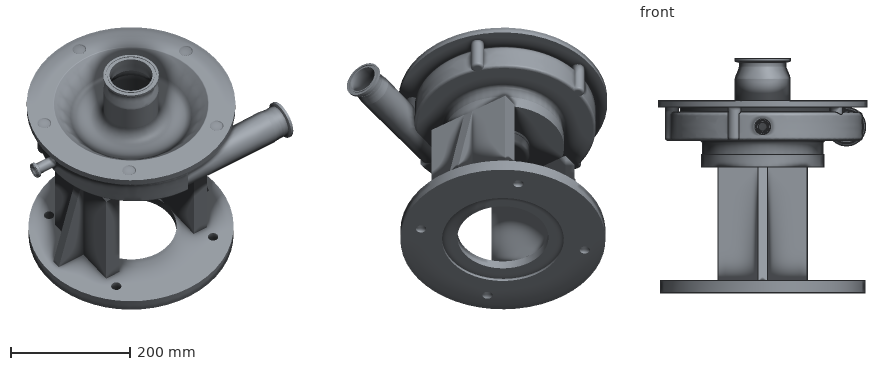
import cadquery as cq
import math

BASE_TOP = 21.0
HUB_BOTTOM = 185.2
HUB_STEP_Z = 205.2
COLLAR_BOTTOM = 210.5
COLLAR_STEP_Z = 231.5
CASING_BOTTOM = 255.5
CASING_TOP = 302.7
FLANGE_BOTTOM = 311.0
FLANGE_TOP = 322.0
SUCTION_END = 392.5

BASE_RADIUS = 171.8
BASE_BORE_RADIUS = 76.5
BASE_RELIEF_RADIUS = 102.0
BASE_RELIEF_DEPTH = 5.0
BOLT_CIRCLE_RADIUS = 139.5
BOLT_HOLE_RADIUS = 8.5
BOLT_HOLE_COUNT = 4
LEG_WIDTH = 149.7
LEG_INNER_Y = 76.0
LEG_OUTER_Y = 103.0
RIB_WIDTH = 16.5
RIB_FOOT_Y = 153.0

COLLAR_RADIUS = 102.5
COLLAR_NECK_RADIUS = 101.0
COLLAR_FILLET = 5.0
HUB_RADIUS = 45.3
HUB_TIP_RADIUS = 44.5
HUB_FILLET = 6.5

VOLUTE_START_RADIUS = 147.3
VOLUTE_STEADY_GROWTH = 10.5
VOLUTE_EXIT_GROWTH = 9.0
VOLUTE_POINT_COUNT = 12
CASING_WALL = 4.5
CHAMBER_FLOOR = CASING_BOTTOM + CASING_WALL
CHAMBER_ROOF = 285.0
CASING_BOTTOM_FILLET = 4.5
CASING_TOP_FILLET = 6.5
CASING_NECK_RADIUS = 138.0
CASING_NECK_FILLET = 2.5
CASING_NECK_FOOT_FILLET = 1.2

FLANGE_RADIUS = 174.83
DISH_RIM_RADIUS = 130.5
DISH_RIM_FILLET = 2.5
DISH_FLOOR_Z = 289.5
DISH_CORNER_FILLET = 12.5

BOSS_COUNT = 5
BOSS_CIRCLE_RADIUS = 151.8
BOSS_RADIUS = 11.0
BOSS_FILLET = 4.5
RECESS_RADIUS = 11.5
RECESS_FLOOR_RADIUS = 10.0
RECESS_DEPTH = 1.2

CLAMP_RIM = 4.5
CLAMP_TAPER = 2.0
GROOVE_DEPTH = 1.5

SUCTION_CLAMP_RADIUS = 46.5
SUCTION_NECK_RADIUS = 38.8
SUCTION_PIPE_RADIUS = 46.0
SUCTION_BORE_RADIUS = 36.0
SUCTION_CHAMBER_RADIUS = 42.5
SUCTION_NECK_END_Z = 379.0
SUCTION_PIPE_START_Z = 357.5
SUCTION_BORE_END_Z = 364.8
SUCTION_CHAMBER_Z = 347.0
SUCTION_FOOT_FILLET = 20.5
NECK_START_SLOPE = (0.2, -1)
NECK_END_SLOPE = (0.1, -1)
SUCTION_GROOVE = (39.0, 42.5)

PORT_Z = 278.3
OUTLET_X = 140.5
OUTLET_END_Y = 211.0
OUTLET_CLAMP_RADIUS = 32.2
OUTLET_NECK_RADIUS = 27.0
OUTLET_WELD_RADIUS = 27.5
OUTLET_PIPE_RADIUS = 28.5
OUTLET_ROOT_RADIUS = 27.0
OUTLET_BORE_RADIUS = 24.0
OUTLET_ROOT_BORE_RADIUS = 21.2
OUTLET_WELD_Y = 198.0
OUTLET_NECK_END_Y = 192.5
OUTLET_BEND_Y = 186.5
OUTLET_PIPE_START_Y = 177.5
OUTLET_GROOVE = (26.0, 29.0)

DRAIN_END_Y = -197.0
DRAIN_LENGTH = 53.0
DRAIN_CLAMP_RADIUS = 13.0
DRAIN_TUBE_RADIUS = 9.5
DRAIN_BORE_RADIUS = 7.5
DRAIN_GROOVE = (9.5, 11.0)


def disc(radius, bottom, top):
    return cq.Workplane("XY").workplane(offset=bottom).circle(radius).extrude(top - bottom)


def spin(outline):
    """Close an outline of (radius, height) points and revolve it about the Z axis."""
    return outline.close().revolve(360, (0, 0, 0), (0, 1, 0))


def clamp_end(clamp_radius, neck_radius, end, groove):
    """Clamp flange whose grooved face lies at height `end`."""
    rim_z = end - CLAMP_RIM
    neck_z = rim_z - CLAMP_TAPER
    profile = cq.Workplane("XZ").polyline(
        [(0, end), (clamp_radius, end), (clamp_radius, rim_z), (neck_radius, neck_z), (0, neck_z)]
    )
    ring = cq.Workplane("XY").workplane(offset=end - GROOVE_DEPTH)
    ring = ring.circle(groove[1]).circle(groove[0]).extrude(GROOVE_DEPTH)
    return spin(profile).cut(ring)


def volute(bottom, top, inset):
    """Spiral prism growing anticlockwise for one turn from the +X axis, fastest near its exit."""

    def point(turn):
        growth = VOLUTE_STEADY_GROWTH * turn + VOLUTE_EXIT_GROWTH * turn**3
        radius = VOLUTE_START_RADIUS + growth - inset
        angle = 2 * math.pi * turn
        return (radius * math.cos(angle), radius * math.sin(angle))

    points = [point(i / VOLUTE_POINT_COUNT) for i in range(VOLUTE_POINT_COUNT + 1)]
    plane = cq.Workplane("XY").workplane(offset=bottom)
    return plane.moveTo(*points[0]).spline(points[1:], includeCurrent=True).close().extrude(top - bottom)


def make_base():
    """Round plate with a large bore, a shallow relief under the bore and a ring of bolt holes."""
    base = disc(BASE_RADIUS, 0, BASE_TOP).cut(disc(BASE_BORE_RADIUS, 0, BASE_TOP))
    base = base.cut(disc(BASE_RELIEF_RADIUS, 0, BASE_RELIEF_DEPTH))
    first_angle = 180 / BOLT_HOLE_COUNT
    holes = (
        cq.Workplane("XY")
        .polarArray(BOLT_CIRCLE_RADIUS, first_angle, 360, BOLT_HOLE_COUNT)
        .circle(BOLT_HOLE_RADIUS)
        .extrude(BASE_TOP)
    )
    return base.cut(holes)


def make_leg(side):
    """Upright plate with a tapered outer rib; `side` is +1 or -1 along Y."""
    height = COLLAR_BOTTOM - BASE_TOP
    thickness = LEG_OUTER_Y - LEG_INNER_Y
    plate = cq.Workplane("XY").box(LEG_WIDTH, thickness, height, centered=(True, True, False))
    plate = plate.translate((0, side * (LEG_INNER_Y + LEG_OUTER_Y) / 2, BASE_TOP))
    rib = (
        cq.Workplane("YZ")
        .polyline(
            [
                (side * LEG_INNER_Y, BASE_TOP),
                (side * RIB_FOOT_Y, BASE_TOP),
                (side * LEG_OUTER_Y, COLLAR_BOTTOM),
                (side * LEG_INNER_Y, COLLAR_BOTTOM),
            ]
        )
        .close()
        .extrude(RIB_WIDTH / 2, both=True)
    )
    return plate.union(rib)


def make_collar():
    """Stepped collar flaring into the casing, with the shaft hub below it."""
    collar = spin(
        cq.Workplane("XZ")
        .moveTo(0, COLLAR_BOTTOM)
        .lineTo(COLLAR_RADIUS, COLLAR_BOTTOM)
        .lineTo(COLLAR_RADIUS, COLLAR_STEP_Z)
        .lineTo(COLLAR_NECK_RADIUS, COLLAR_STEP_Z)
        .lineTo(COLLAR_NECK_RADIUS, CASING_BOTTOM - COLLAR_FILLET)
        .radiusArc((COLLAR_NECK_RADIUS + COLLAR_FILLET, CASING_BOTTOM), COLLAR_FILLET)
        .lineTo(0, CASING_BOTTOM)
    )
    hub_tip = disc(HUB_TIP_RADIUS, HUB_BOTTOM, HUB_STEP_Z).faces("<Z").edges().fillet(HUB_FILLET)
    hub = disc(HUB_RADIUS, HUB_STEP_Z, COLLAR_BOTTOM)
    return collar.union(hub).union(hub_tip)


def make_casing():
    """Volute body with rounded edges, and the round neck that joins it to the flange."""
    casing = volute(CASING_BOTTOM, CASING_TOP, 0)
    casing = casing.faces(">Z").edges().fillet(CASING_TOP_FILLET)
    casing = casing.faces("<Z").edges().fillet(CASING_BOTTOM_FILLET)
    neck = spin(
        cq.Workplane("XZ")
        .moveTo(0, CASING_TOP)
        .lineTo(CASING_NECK_RADIUS + CASING_NECK_FOOT_FILLET, CASING_TOP)
        .radiusArc((CASING_NECK_RADIUS, CASING_TOP + CASING_NECK_FOOT_FILLET), CASING_NECK_FOOT_FILLET)
        .lineTo(CASING_NECK_RADIUS, FLANGE_BOTTOM - CASING_NECK_FILLET)
        .radiusArc((CASING_NECK_RADIUS + CASING_NECK_FILLET, FLANGE_BOTTOM), CASING_NECK_FILLET)
        .lineTo(0, FLANGE_BOTTOM)
    )
    return casing.union(neck)


def make_dish():
    """Volume removed above the flange centre: a 45 degree cone with rounded rim and corner."""
    rim_tangent = DISH_RIM_FILLET * math.tan(math.radians(22.5))
    tangent_step = rim_tangent * math.cos(math.radians(45))
    edge_radius = DISH_RIM_RADIUS - rim_tangent
    floor_radius = edge_radius - (FLANGE_TOP - DISH_FLOOR_Z)
    dish = spin(
        cq.Workplane("XZ")
        .moveTo(0, DISH_FLOOR_Z)
        .lineTo(floor_radius, DISH_FLOOR_Z)
        .lineTo(edge_radius - tangent_step, FLANGE_TOP - tangent_step)
        .radiusArc((DISH_RIM_RADIUS, FLANGE_TOP), DISH_RIM_FILLET)
        .lineTo(0, FLANGE_TOP)
    )
    return dish.faces("<Z").edges().fillet(DISH_CORNER_FILLET)


def screw_place(angle):
    """Centre of the screw boss at `angle` degrees from +X."""
    x = BOSS_CIRCLE_RADIUS * math.cos(math.radians(angle))
    y = BOSS_CIRCLE_RADIUS * math.sin(math.radians(angle))
    return (x, y, 0)


def make_boss(angle):
    """Screw boss; on the wide +X side it ends in the casing or outlet pipe."""
    if math.cos(math.radians(angle)) > 0:
        boss = disc(BOSS_RADIUS, CHAMBER_ROOF, FLANGE_BOTTOM)
    else:
        boss = disc(BOSS_RADIUS, CASING_BOTTOM, FLANGE_BOTTOM).faces("<Z").edges().fillet(BOSS_FILLET)
    return boss.translate(screw_place(angle))


def make_recess(angle):
    """Shallow seat with a sloping wall in the flange top, above a screw boss."""
    floor = FLANGE_TOP - RECESS_DEPTH
    seat = spin(
        cq.Workplane("XZ").polyline(
            [(0, floor), (RECESS_FLOOR_RADIUS, floor), (RECESS_RADIUS, FLANGE_TOP), (0, FLANGE_TOP)]
        )
    )
    return seat.translate(screw_place(angle))


def make_suction():
    """Suction pipe flowing out of the dish floor and narrowing to its clamp end."""
    neck_bottom = SUCTION_END - CLAMP_RIM - CLAMP_TAPER
    pipe = spin(
        cq.Workplane("XZ")
        .moveTo(0, neck_bottom)
        .lineTo(SUCTION_NECK_RADIUS, neck_bottom)
        .lineTo(SUCTION_NECK_RADIUS, SUCTION_NECK_END_Z)
        .spline(
            [(SUCTION_PIPE_RADIUS, SUCTION_PIPE_START_Z)],
            tangents=[NECK_START_SLOPE, NECK_END_SLOPE],
            includeCurrent=True,
        )
        .lineTo(SUCTION_PIPE_RADIUS, DISH_FLOOR_Z + SUCTION_FOOT_FILLET)
        .radiusArc((SUCTION_PIPE_RADIUS + SUCTION_FOOT_FILLET, DISH_FLOOR_Z), -SUCTION_FOOT_FILLET)
        .lineTo(0, DISH_FLOOR_Z)
    )
    return pipe.union(clamp_end(SUCTION_CLAMP_RADIUS, SUCTION_NECK_RADIUS, SUCTION_END, SUCTION_GROOVE))


def make_suction_bore():
    """Straight bore that widens inside the pipe and runs down to the chamber floor."""
    return spin(
        cq.Workplane("XZ").polyline(
            [
                (0, CHAMBER_FLOOR),
                (SUCTION_CHAMBER_RADIUS, CHAMBER_FLOOR),
                (SUCTION_CHAMBER_RADIUS, SUCTION_CHAMBER_Z),
                (SUCTION_BORE_RADIUS, SUCTION_BORE_END_Z),
                (SUCTION_BORE_RADIUS, SUCTION_END),
                (0, SUCTION_END),
            ]
        )
    )


def place_outlet(body):
    """Turn a body modelled along +Z to run along +Y on the outlet centreline."""
    return body.rotate((0, 0, 0), (1, 0, 0), -90).translate((OUTLET_X, 0, PORT_Z))


def make_outlet():
    """Outlet pipe widening away from the volute, then a welded neck and clamp end."""
    neck_start = OUTLET_END_Y - CLAMP_RIM - CLAMP_TAPER
    pipe = spin(
        cq.Workplane("XZ").polyline(
            [
                (0, neck_start),
                (OUTLET_NECK_RADIUS, neck_start),
                (OUTLET_NECK_RADIUS, OUTLET_WELD_Y),
                (OUTLET_WELD_RADIUS, OUTLET_WELD_Y),
                (OUTLET_NECK_RADIUS, OUTLET_NECK_END_Y),
                (OUTLET_WELD_RADIUS, OUTLET_BEND_Y),
                (OUTLET_PIPE_RADIUS, OUTLET_PIPE_START_Y),
                (OUTLET_ROOT_RADIUS, 0),
                (0, 0),
            ]
        )
    )
    clamp = clamp_end(OUTLET_CLAMP_RADIUS, OUTLET_NECK_RADIUS, OUTLET_END_Y, OUTLET_GROOVE)
    return place_outlet(pipe.union(clamp))


def make_outlet_bore():
    bore = spin(
        cq.Workplane("XZ").polyline(
            [
                (0, 0),
                (OUTLET_ROOT_BORE_RADIUS, 0),
                (OUTLET_BORE_RADIUS, OUTLET_PIPE_START_Y),
                (OUTLET_BORE_RADIUS, OUTLET_END_Y),
                (0, OUTLET_END_Y),
            ]
        )
    )
    return place_outlet(bore)


def place_drain(body):
    """Turn a body modelled along +Z, mouth at z = 0, to face -Y at the drain mouth."""
    return body.rotate((0, 0, 0), (1, 0, 0), 90).translate((0, DRAIN_END_Y, PORT_Z))


def make_drain():
    tube = disc(DRAIN_TUBE_RADIUS, -DRAIN_LENGTH + CASING_WALL, -CLAMP_RIM)
    return place_drain(tube.union(clamp_end(DRAIN_CLAMP_RADIUS, DRAIN_TUBE_RADIUS, 0, DRAIN_GROOVE)))


boss_angles = [180 + i * 360 / BOSS_COUNT for i in range(BOSS_COUNT)]
result = make_base()
for leg_side in (1, -1):
    result = result.union(make_leg(leg_side))
result = result.union(make_collar()).union(make_casing())
result = result.union(disc(FLANGE_RADIUS, FLANGE_BOTTOM, FLANGE_TOP))
result = result.union(make_outlet())
for boss_angle in boss_angles:
    result = result.union(make_boss(boss_angle)).cut(make_recess(boss_angle))
result = result.cut(make_dish()).union(make_suction()).union(make_drain())

result = result.cut(volute(CHAMBER_FLOOR, CHAMBER_ROOF, CASING_WALL))
result = result.cut(make_suction_bore())
result = result.cut(make_outlet_bore())
result = result.cut(place_drain(disc(DRAIN_BORE_RADIUS, -DRAIN_LENGTH, 0)))